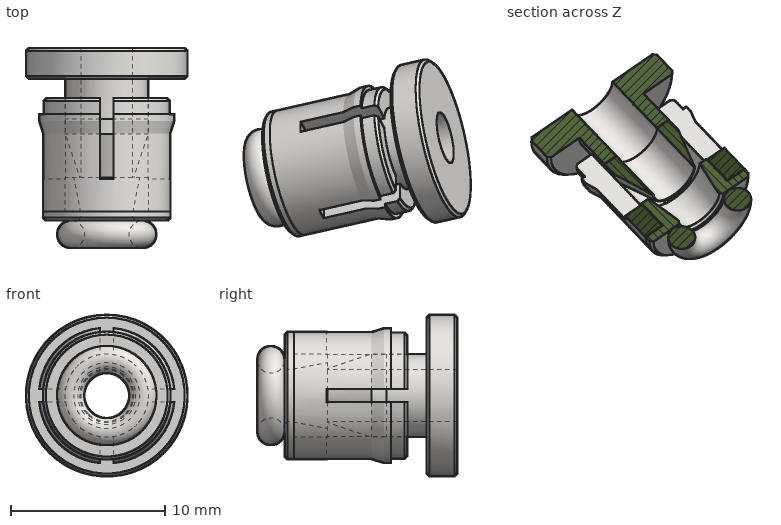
import cadquery as cq

OVERALL_LENGTH = 12.98
EDGE_CHAMFER = 0.2
TUBE_BORE_DIAMETER = 3.36

HEAD_DIAMETER = 10.5
HEAD_THICKNESS = 2.0
NECK_DIAMETER = 5.4
BUTTON_TRAVEL = 1.25

RING_SECTION_DIAMETER = 1.78
RING_INNER_DIAMETER = 2.9

CAP_THICKNESS = 0.6
CAP_BORE_LENGTH = 0.2
FUNNEL_DIAMETER = 4.28
SPIGOT_EXPOSURE = 0.08

SLEEVE_DIAMETER = 8.3
COLLAR_DIAMETER = 8.24
COLLAR_LENGTH = 1.05
BARB_DIAMETER = 8.8
BARB_LAND_LENGTH = 0.45
BARB_TAPER_LENGTH = 0.8
SLOT_WIDTH = 0.85
SLOT_LENGTH = 5.25
SLOT_COUNT = 4

COLLET_DEPTH = 1.35
COLLET_LAND_LENGTH = 0.99
COLLET_TIP_DIAMETER = 3.5

head_inner_y = -HEAD_THICKNESS
sleeve_start_y = head_inner_y - BUTTON_TRAVEL
collet_start_y = sleeve_start_y - COLLET_DEPTH
collet_taper_y = collet_start_y - COLLET_LAND_LENGTH
slot_end_y = sleeve_start_y - SLOT_LENGTH
cap_outer_y = RING_SECTION_DIAMETER - OVERALL_LENGTH
cap_inner_y = cap_outer_y + CAP_THICKNESS
spigot_end_y = slot_end_y + SPIGOT_EXPOSURE

bore_radius = TUBE_BORE_DIAMETER / 2
neck_radius = NECK_DIAMETER / 2
sleeve_radius = SLEEVE_DIAMETER / 2


def turned(points):
    """Solid of revolution about the Y axis from (y, radius) points."""
    axis_start = (0, 0, 0)
    axis_end = (1, 0, 0)
    return cq.Workplane("YZ").polyline(points).close().revolve(360, axis_start, axis_end)


def make_button():
    """Chamfered round head with a hollow neck that reaches the collet."""
    head_radius = HEAD_DIAMETER / 2
    chamfered_radius = head_radius - EDGE_CHAMFER
    return turned([
        (0, bore_radius),
        (0, chamfered_radius),
        (-EDGE_CHAMFER, head_radius),
        (head_inner_y + EDGE_CHAMFER, head_radius),
        (head_inner_y, chamfered_radius),
        (head_inner_y, neck_radius),
        (collet_start_y, neck_radius),
        (collet_start_y, bore_radius),
    ])


def make_collet():
    """Hollow collet that tapers from the neck size down to the end of the cap spigot."""
    return turned([
        (collet_start_y, bore_radius),
        (collet_start_y, neck_radius),
        (collet_taper_y, neck_radius),
        (spigot_end_y, COLLET_TIP_DIAMETER / 2),
        (spigot_end_y, bore_radius),
    ])


def make_sleeve():
    """Barbed tube around the neck and collet, slotted from the end beside the button head."""
    collar_radius = COLLAR_DIAMETER / 2
    barb_radius = BARB_DIAMETER / 2
    barb_start_y = sleeve_start_y - COLLAR_LENGTH
    barb_taper_y = barb_start_y - BARB_LAND_LENGTH
    barb_end_y = barb_taper_y - BARB_TAPER_LENGTH
    sleeve = turned([
        (sleeve_start_y, neck_radius),
        (sleeve_start_y, collar_radius - EDGE_CHAMFER),
        (sleeve_start_y - EDGE_CHAMFER, collar_radius),
        (barb_start_y, collar_radius),
        (barb_start_y, barb_radius),
        (barb_taper_y, barb_radius),
        (barb_end_y, sleeve_radius),
        (cap_inner_y, sleeve_radius),
        (cap_inner_y, neck_radius),
    ])
    slot = cq.Workplane("XY").box(SLOT_WIDTH, SLOT_LENGTH, BARB_DIAMETER, centered=(True, False, False))
    for index in range(SLOT_COUNT):
        angle = index * 360 / SLOT_COUNT
        sleeve = sleeve.cut(slot.translate((0, slot_end_y, 0)).rotate((0, 0, 0), (0, 1, 0), angle))
    return sleeve


def make_end_cap():
    """Flange closing the sleeve, with a spigot inside it and a bore that flares into a funnel."""
    bore_start_y = cap_outer_y + EDGE_CHAMFER
    return turned([
        (cap_outer_y, bore_radius + EDGE_CHAMFER),
        (cap_outer_y, sleeve_radius - EDGE_CHAMFER),
        (cap_outer_y + EDGE_CHAMFER, sleeve_radius),
        (cap_inner_y, sleeve_radius),
        (cap_inner_y, neck_radius),
        (spigot_end_y, neck_radius),
        (spigot_end_y, FUNNEL_DIAMETER / 2),
        (bore_start_y + CAP_BORE_LENGTH, bore_radius),
        (bore_start_y, bore_radius),
    ])


def make_o_ring():
    """Torus resting against the outer face of the end cap."""
    section_radius = RING_SECTION_DIAMETER / 2
    ring_mean_radius = RING_INNER_DIAMETER / 2 + section_radius
    ring_center = cq.Vector(0, section_radius - OVERALL_LENGTH, 0)
    return cq.Solid.makeTorus(ring_mean_radius, section_radius, ring_center, cq.Vector(0, 1, 0))


button = make_button()
collet = make_collet()
sleeve = make_sleeve()
end_cap = make_end_cap()
o_ring = make_o_ring()

result = cq.Compound.makeCompound([button.val(), collet.val(), sleeve.val(), end_cap.val(), o_ring])